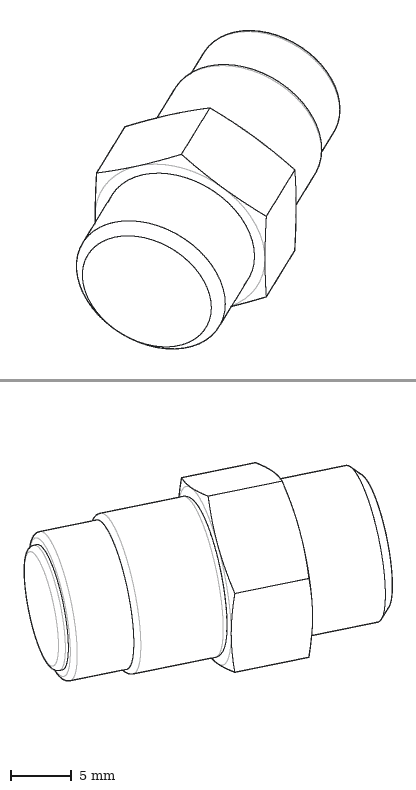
import cadquery as cq
import math

TOTAL_LENGTH = 28.4

FRONT_DIAMETER = 13.15
FRONT_CHAMFER = 0.88

HEX_ACROSS_FLATS = 15.0
HEX_START = 7.4
HEX_LENGTH = 7.0
HEX_CORNER_DROP = 0.3

COLLAR_DIAMETER = 13.5
COLLAR_END = 22.38
NECK_DIAMETER = 12.52
NECK_END = 27.7
STEP_FILLET = 0.45

TIP_DIAMETER = 10.5

HEX_END = HEX_START + HEX_LENGTH
HEX_ACROSS_CORNERS = HEX_ACROSS_FLATS / math.cos(math.pi / 6)


def cylinder(diameter, start, end):
    """Solid cylinder along +Y between two axial positions."""
    base = cq.Workplane("XZ", origin=(0, start, 0))
    return base.circle(diameter / 2).extrude(start - end)


def chamfered_hexagon():
    """Hexagon with corners on the Z axis, both ends turned down to the flats."""
    hexagon = (
        cq.Workplane("XZ", origin=(0, HEX_START, 0))
        .polygon(6, HEX_ACROSS_CORNERS)
        .extrude(-HEX_LENGTH)
        .rotate((0, 0, 0), (0, 1, 0), 30)
    )
    flat_radius = HEX_ACROSS_FLATS / 2
    corner_radius = HEX_ACROSS_CORNERS / 2
    turning_envelope = (
        cq.Workplane("XY")
        .moveTo(0, HEX_START)
        .lineTo(flat_radius, HEX_START)
        .lineTo(corner_radius, HEX_START + HEX_CORNER_DROP)
        .lineTo(corner_radius, HEX_END - HEX_CORNER_DROP)
        .lineTo(flat_radius, HEX_END)
        .lineTo(0, HEX_END)
        .close()
        .revolve(360, (0, 0, 0), (0, 1, 0))
    )
    return hexagon.intersect(turning_envelope)


front_end = cylinder(FRONT_DIAMETER, 0, HEX_START).faces("<Y").chamfer(FRONT_CHAMFER)
collar = cylinder(COLLAR_DIAMETER, HEX_END, COLLAR_END).edges("%CIRCLE").fillet(STEP_FILLET)
neck = cylinder(NECK_DIAMETER, COLLAR_END, NECK_END).faces(">Y").edges().fillet(STEP_FILLET)
tip = cylinder(TIP_DIAMETER, NECK_END, TOTAL_LENGTH).faces(">Y").edges().fillet(STEP_FILLET)

result = front_end.union(chamfered_hexagon()).union(collar).union(neck).union(tip)